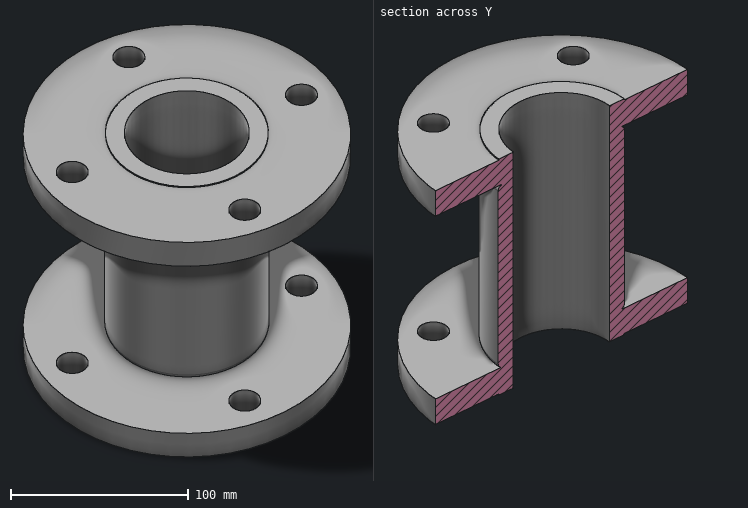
import cadquery as cq

total_length = 164.0
bore_diameter = 70.5

flange_diameter = 185.0
flange_thickness = 18.0
bolt_circle_diameter = 145.0
bolt_hole_diameter = 18.0
bolt_hole_count = 4
first_bolt_angle = 45.0

face_diameter = 92.0
face_height = 0.8

barrel_diameter = 93.0
barrel_rounding = 3.0

barrel_length = total_length - 2 * (face_height + flange_thickness)


def make_barrel():
    """Barrel centred on the origin, with both end edges rounded."""
    return (
        cq.Workplane("XY", origin=(0, 0, -barrel_length / 2))
        .circle(barrel_diameter / 2)
        .extrude(barrel_length)
        .faces("<Z or >Z")
        .edges()
        .fillet(barrel_rounding)
    )


def make_upper_flange():
    """Drilled flange with its raised face, at the top end of the part."""
    flange_bottom = barrel_length / 2
    flange = (
        cq.Workplane("XY", origin=(0, 0, flange_bottom))
        .circle(flange_diameter / 2)
        .extrude(flange_thickness)
        .faces(">Z")
        .workplane()
        .polarArray(bolt_circle_diameter / 2, first_bolt_angle, 360, bolt_hole_count)
        .hole(bolt_hole_diameter)
    )
    raised_face = (
        cq.Workplane("XY", origin=(0, 0, flange_bottom + flange_thickness))
        .circle(face_diameter / 2)
        .extrude(face_height)
    )
    return flange.union(raised_face)


def make_bore():
    """Through bore along the full length."""
    return (
        cq.Workplane("XY", origin=(0, 0, -total_length / 2))
        .circle(bore_diameter / 2)
        .extrude(total_length)
    )


upper_flange = make_upper_flange()
lower_flange = upper_flange.mirror("XY")
result = make_barrel().union(upper_flange).union(lower_flange).cut(make_bore())